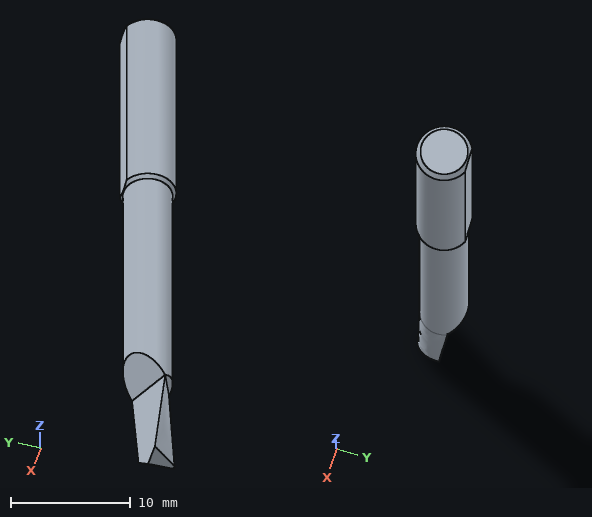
import cadquery as cq
import math

total_height = 50.8
shank_radius = 2.4
shank_bottom = 32.1
shank_flat_y = 2.15
top_chamfer = 0.4
shoulder_height = 0.3
neck_radius = 2.1
neck_bottom = 9.15

root_lead_angle = 209.0
root_heel_angle = 285.5
root_back_angle = 384.0

tip_radius = 2.3
tip_lead = (-2.25, 0.0)
tip_heel_angle = 264.0
tip_back_angle = 360.0

back_slope = 48.0
rake_slope = 45.0
end_relief_rise = 0.2
corner_cut_start_x = 0.0
corner_cut_start_z = 0.1

margin = 5.1


def on_circle(radius, angle):
    """Point on a circle about the tool axis, with the angle in degrees."""
    turn = math.radians(angle)
    return radius * math.cos(turn), radius * math.sin(turn)


def make_shank():
    end_radius = shank_radius - top_chamfer
    profile = [
        (0, shank_bottom - shoulder_height),
        (neck_radius, shank_bottom - shoulder_height),
        (shank_radius, shank_bottom),
        (shank_radius, total_height - top_chamfer),
        (end_radius, total_height),
        (0, total_height),
    ]
    shank = cq.Workplane("XZ").polyline(profile).close().revolve(360, (0, 0), (0, 1))
    flat_cut = (
        cq.Workplane("XY", origin=(0, shank_flat_y, 0))
        .box(2 * margin, margin, total_height + margin, centered=(True, False, False))
    )
    return shank.cut(flat_cut)


def sloped_cut(start_angle, end_angle, slope):
    """Wedge rising outward from the chord between two corners at the neck bottom."""
    start_x, start_y = on_circle(neck_radius, start_angle)
    end_x, end_y = on_circle(neck_radius, end_angle)
    outward = cq.Vector(end_y - start_y, start_x - end_x, 0)
    along = cq.Vector(end_x - start_x, end_y - start_y, 0)
    plane = cq.Plane(origin=(start_x, start_y, neck_bottom), xDir=outward, normal=-along)
    rise = margin * math.tan(math.radians(slope))
    profile = [(0, 0), (margin, 0), (margin, rise)]
    return cq.Workplane(plane).polyline(profile).close().extrude(margin, both=True)


def make_neck():
    neck = (
        cq.Workplane("XY", origin=(0, 0, neck_bottom))
        .circle(neck_radius)
        .extrude(shank_bottom - neck_bottom)
    )
    neck = neck.cut(sloped_cut(root_back_angle, root_lead_angle, back_slope))
    return neck.cut(sloped_cut(root_lead_angle, root_heel_angle, rake_slope))


def blade_section(height, lead, radius, heel_angle, back_angle):
    """Section with a flat rake side, a round outer side and a flat back."""
    middle_angle = (heel_angle + back_angle) / 2
    return (
        cq.Workplane("XY", origin=(0, 0, height))
        .moveTo(*lead)
        .lineTo(*on_circle(radius, heel_angle))
        .threePointArc(on_circle(radius, middle_angle), on_circle(radius, back_angle))
        .close()
        .val()
    )


def make_blade():
    root_lead = on_circle(neck_radius, root_lead_angle)
    tip = blade_section(0, tip_lead, tip_radius, tip_heel_angle, tip_back_angle)
    root = blade_section(neck_bottom, root_lead, neck_radius, root_heel_angle, root_back_angle)
    blade = cq.Workplane(cq.Solid.makeLoft([tip, root], True))

    end_relief = (
        cq.Workplane("YZ")
        .polyline([(0, 0), (-tip_radius, end_relief_rise), (-tip_radius, -margin), (0, -margin)])
        .close()
        .extrude(margin, both=True)
    )
    corner_cut = (
        cq.Workplane("XZ", origin=(corner_cut_start_x, 0, corner_cut_start_z))
        .polyline([(-margin, -margin), (margin, margin), (margin, -margin)])
        .close()
        .extrude(margin, both=True)
    )
    return blade.cut(end_relief).cut(corner_cut)


result = make_shank().union(make_neck()).union(make_blade())